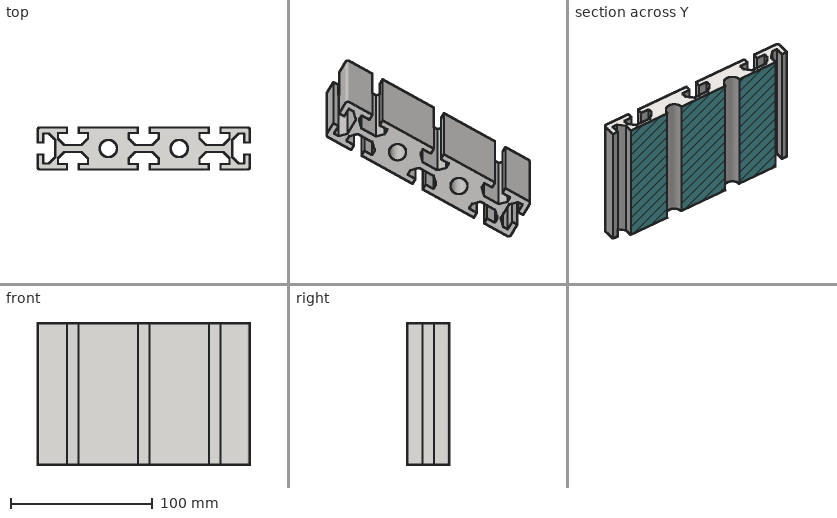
import cadquery as cq

WIDTH = 150.0
THICKNESS = 30.0
LENGTH = 100.0
CORNER_RADIUS = 2.0

SLOT_PITCH = 50.0
BORE_DIAMETER = 12.0

MOUTH_WIDTH = 8.2
CHANNEL_WIDTH = 21.0
FLOOR_WIDTH = 12.0
LIP_THICKNESS = 4.2
SLOT_DEPTH = 12.5
TAPER_DEPTH = (CHANNEL_WIDTH - FLOOR_WIDTH) / 2


def t_slot(center_x, center_y, angle):
    """Full-length T-slot whose mouth centre is given; at angle 0 it opens toward +Y."""
    half_mouth = MOUTH_WIDTH / 2
    half_channel = CHANNEL_WIDTH / 2
    half_floor = FLOOR_WIDTH / 2
    taper_start = SLOT_DEPTH - TAPER_DEPTH
    right_side = [
        (half_mouth, 0),
        (half_mouth, -LIP_THICKNESS),
        (half_channel, -LIP_THICKNESS),
        (half_channel, -taper_start),
        (half_floor, -SLOT_DEPTH),
    ]
    left_side = [(-x, y) for x, y in reversed(right_side)]
    section = cq.Workplane("XY").polyline(right_side + left_side).close()
    slot = section.extrude(LENGTH)
    return slot.rotate((0, 0, 0), (0, 0, 1), angle).translate((center_x, center_y, 0))


def profile_blank():
    """Solid bar with its four long outer corners rounded."""
    bar = cq.Workplane("XY").box(WIDTH, THICKNESS, LENGTH, centered=(True, True, False))
    return bar.edges("|Z").fillet(CORNER_RADIUS)


def bores():
    """Two through bores, each midway between neighbouring slots."""
    centers = [(-SLOT_PITCH / 2, 0), (SLOT_PITCH / 2, 0)]
    return cq.Workplane("XY").pushPoints(centers).circle(BORE_DIAMETER / 2).extrude(LENGTH)


result = profile_blank().cut(bores())

for slot_x in (-SLOT_PITCH, 0, SLOT_PITCH):
    result = result.cut(t_slot(slot_x, THICKNESS / 2, 0))
    result = result.cut(t_slot(slot_x, -THICKNESS / 2, 180))

result = result.cut(t_slot(-WIDTH / 2, 0, 90))
result = result.cut(t_slot(WIDTH / 2, 0, -90))